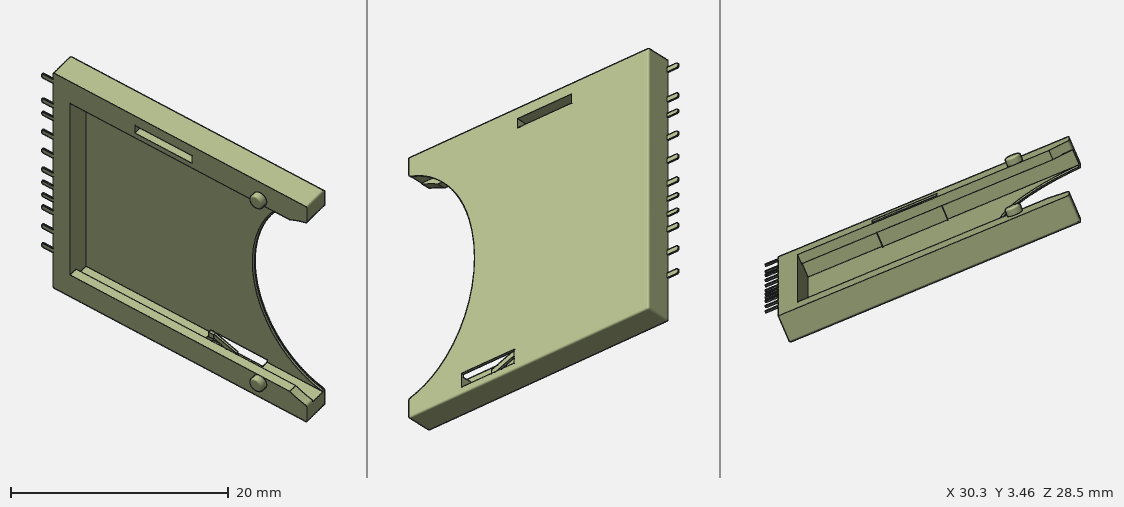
import cadquery as cq
BODY_LENGTH = 29.0
BODY_HEIGHT = 28.46
BODY_DEPTH = 2.75
EDGE_RADIUS = 0.2
TIP_RADIUS = 0.3

BAY_LEFT = 1.95
WINDOW_HALF_HEIGHT = 11.35
FRAME_THICKNESS = 0.93
CHANNEL_HALF_HEIGHT = 12.25
FLOOR_THICKNESS = 0.28
FLOOR_FRONT = BODY_DEPTH - FLOOR_THICKNESS

CUTOUT_CENTRE_X = 30.8
CUTOUT_SEMI_X = 9.75
CUTOUT_SEMI_Z = 12.32
LEAD_IN = 0.14

SLOT_LENGTH = 6.5
SLOT_HEIGHT = 1.0
SLOT_LEFT = 9.35
SLOT_BOTTOM = 11.98

NOTCH_LEFT = 16.25
NOTCH_LENGTH = 6.35
NOTCH_TOP = -11.95
NOTCH_BOTTOM = -13.45

SPRING_FRONT = 2.1
SPRING_ROOT_STEP = 0.08
SPRING_THICKNESS = 0.25
SPRING_TOP = -11.8
SPRING_HEIGHT = 0.6
SPRING_ROOT_LENGTH = 0.6
SPRING_SLOPE_LENGTH = 2.5
SPRING_DROP = 0.95

PEG_DIAMETER = 1.52
PEG_LENGTH = 0.71
PEG_X = 23.64
PEG_Z = 12.1
PEG_FILLET = 0.2

TERMINAL_LENGTH = 1.3
TERMINAL_THICKNESS = 0.15
TERMINAL_TIP_RADIUS = 0.2
WIDE_TERMINAL = 0.52
NARROW_TERMINAL = 0.42
WIDE_TERMINAL_HEIGHTS = [13.05, 9.8, 5.65, 3.15, 0.65, -4.35, -6.85, -9.35]
NARROW_TERMINAL_HEIGHTS = [8.08, -1.03, -2.7]


def box(x_range, y_range, z_range):
    """Axis-aligned box spanning the given ranges."""
    sizes = [end - start for start, end in (x_range, y_range, z_range)]
    corner = (x_range[0], y_range[0], z_range[0])
    return cq.Workplane("XY").box(*sizes, centered=False).translate(corner)


def facing_front(y):
    """XZ workplane at the given Y; it extrudes toward -Y."""
    return cq.Workplane("XZ", origin=(0, y, 0))


def rounded_shell():
    """Block with rounded left corners and back edges, overrunning the right face."""
    half_height = BODY_HEIGHT / 2
    overrun = BODY_LENGTH + CUTOUT_SEMI_X
    block = box((0, overrun), (0, BODY_DEPTH), (-half_height, half_height))
    block = block.edges("|Y").fillet(EDGE_RADIUS)
    return block.faces(">Y").edges().fillet(EDGE_RADIUS)


def finger_cutout():
    """Elliptical cutter through the full depth of the housing."""
    cutter = facing_front(BODY_DEPTH).center(CUTOUT_CENTRE_X, 0)
    return cutter.ellipse(CUTOUT_SEMI_X, CUTOUT_SEMI_Z).extrude(BODY_DEPTH)


def floor_lead_in():
    """Tapered elliptical cutter that bevels the front edge of the bay floor."""
    wide = (CUTOUT_SEMI_X + LEAD_IN, CUTOUT_SEMI_Z + LEAD_IN)
    bevel = facing_front(FLOOR_FRONT).center(CUTOUT_CENTRE_X, 0).ellipse(*wide)
    bevel = bevel.workplane(offset=-LEAD_IN).ellipse(CUTOUT_SEMI_X, CUTOUT_SEMI_Z).loft(ruled=True)
    reach = box(
        (0, BODY_LENGTH),
        (FLOOR_FRONT, BODY_DEPTH),
        (-CHANNEL_HALF_HEIGHT, CHANNEL_HALF_HEIGHT),
    )
    return bevel.intersect(reach)


def silhouette():
    """Prism trimmed by the finger cutout, with both arm ends rounded."""
    half_height = BODY_HEIGHT / 2
    prism = box((0, BODY_LENGTH), (0, BODY_DEPTH), (-half_height, half_height))
    prism = prism.edges("|Y and >X").fillet(EDGE_RADIUS).cut(finger_cutout())
    inner_tips = cq.selectors.BoxSelector(
        (BODY_LENGTH - TIP_RADIUS, 0, -CUTOUT_SEMI_Z),
        (BODY_LENGTH + TIP_RADIUS, BODY_DEPTH, CUTOUT_SEMI_Z),
    )
    return prism.edges(inner_tips).fillet(TIP_RADIUS)


def card_bay():
    """Window through the front frame and the taller channel behind it."""
    length = (BAY_LEFT, BODY_LENGTH)
    window = box(length, (0, FLOOR_FRONT), (-WINDOW_HALF_HEIGHT, WINDOW_HALF_HEIGHT))
    channel = box(length, (FRAME_THICKNESS, FLOOR_FRONT), (-CHANNEL_HALF_HEIGHT, CHANNEL_HALF_HEIGHT))
    return window.union(channel)


def rail_slot():
    """Slot through the upper rail."""
    return box(
        (SLOT_LEFT, SLOT_LEFT + SLOT_LENGTH),
        (0, BODY_DEPTH),
        (SLOT_BOTTOM, SLOT_BOTTOM + SLOT_HEIGHT),
    )


def rail_notch():
    """Notch behind the front frame of the lower rail."""
    return box(
        (NOTCH_LEFT, NOTCH_LEFT + NOTCH_LENGTH),
        (FRAME_THICKNESS, BODY_DEPTH),
        (NOTCH_BOTTOM, NOTCH_TOP),
    )


def contact_spring():
    """Bent leaf standing in the notch, with a slightly thicker root."""
    bend_x = NOTCH_LEFT + SPRING_ROOT_LENGTH
    end_x = bend_x + SPRING_SLOPE_LENGTH
    end_top = SPRING_TOP - SPRING_DROP
    outline = [
        (NOTCH_LEFT, SPRING_TOP),
        (bend_x, SPRING_TOP),
        (end_x, end_top),
        (end_x, end_top - SPRING_HEIGHT),
        (bend_x, SPRING_TOP - SPRING_HEIGHT),
        (NOTCH_LEFT, SPRING_TOP - SPRING_HEIGHT),
    ]
    back = SPRING_FRONT + SPRING_THICKNESS
    leaf = facing_front(back).polyline(outline).close().extrude(SPRING_THICKNESS)
    root = box(
        (NOTCH_LEFT, bend_x),
        (SPRING_FRONT - SPRING_ROOT_STEP, back),
        (SPRING_TOP - SPRING_HEIGHT, SPRING_TOP),
    )
    return leaf.union(root)


def peg(z):
    """Round locating peg with a rounded end."""
    post = facing_front(0).center(PEG_X, z).circle(PEG_DIAMETER / 2).extrude(PEG_LENGTH)
    return post.faces("<Y").edges().fillet(PEG_FILLET)


def terminal(z, width):
    """Flat terminal with a rounded tip, rooted in the left wall of the housing."""
    blade = box(
        (-TERMINAL_LENGTH, BAY_LEFT / 2),
        (0, TERMINAL_THICKNESS),
        (z - width / 2, z + width / 2),
    )
    return blade.edges("|Y and <X").fillet(TERMINAL_TIP_RADIUS)


housing = rounded_shell().intersect(silhouette())
housing = housing.cut(card_bay()).cut(floor_lead_in())
housing = housing.cut(rail_slot()).cut(rail_notch())

result = housing.union(contact_spring())
for peg_height in (-PEG_Z, PEG_Z):
    result = result.union(peg(peg_height))
for terminal_height in WIDE_TERMINAL_HEIGHTS:
    result = result.union(terminal(terminal_height, WIDE_TERMINAL))
for terminal_height in NARROW_TERMINAL_HEIGHTS:
    result = result.union(terminal(terminal_height, NARROW_TERMINAL))